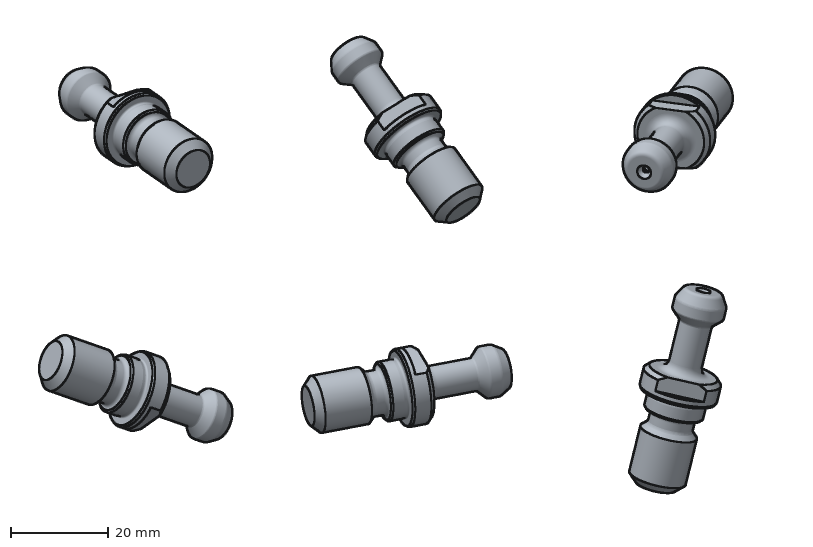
import cadquery as cq
import math


head_reach = 23.0
shank_reach = 20.0
head_end = -head_reach

head_radius = 10.95 / 2
head_front_corner = head_end + 2.5
head_front_angle = math.radians(30)
head_front_fillet = 1.0
head_back_corner = head_end + 5.0
head_back_fillet = 0.5

stem_radius = 6.95 / 2
stem_start = head_back_corner + (head_radius - stem_radius)
stem_fillet = 2.0

flange_radius = 16.4 / 2
flange_front = -5.0
flange_front_chamfer = 1.0
flange_back_chamfer_length = 0.5
flange_back_chamfer_depth = 0.3

flats_width = 12.8
flats_end = -1.6

relief_radius = 12.3 / 2
relief_fillet = 0.4
relief_end = 0.5
land_start = 1.1
land_radius = 12.5 / 2
land_end = 4.0
land_chamfer = 0.4

neck_radius = 9.5 / 2
neck_fillet = 0.9

shank_radius = 12.0 / 2
shank_start = 8.15
neck_end = shank_start - (shank_radius - neck_radius)
shank_chamfer = 1.8

center_mouth_radius = 3.0 / 2
center_pilot_radius = 1.4 / 2
center_cone_half_angle = math.radians(30)
center_pilot_length = 1.0
drill_point_half_angle = math.radians(60)


def revolve_about_x(profile):
    """Turn a closed profile, drawn as (x, radius), about the X axis."""
    return profile.close().revolve(360, (0, 0, 0), (1, 0, 0))


def round_circle(body, x, radius, fillet_radius):
    """Fillet the circular edge of the given radius that lies at x."""
    tolerance = 0.01
    box = cq.selectors.BoxSelector(
        (x - tolerance, -radius - tolerance, -radius - tolerance),
        (x + tolerance, radius + tolerance, radius + tolerance),
        boundingbox=True,
    )
    circle = cq.selectors.RadiusNthSelector(-1)
    return body.edges(box).edges(circle).fillet(fillet_radius)


def make_turned_body():
    head_face_radius = head_radius - (head_front_corner - head_end) * math.tan(head_front_angle)
    profile = (
        cq.Workplane("XY")
        .moveTo(head_end, 0)
        .lineTo(head_end, head_face_radius)
        .lineTo(head_front_corner, head_radius)
        .lineTo(head_back_corner, head_radius)
        .lineTo(stem_start, stem_radius)
        .lineTo(flange_front, stem_radius)
        .lineTo(flange_front, flange_radius - flange_front_chamfer)
        .lineTo(flange_front + flange_front_chamfer, flange_radius)
        .lineTo(-flange_back_chamfer_length, flange_radius)
        .lineTo(0, flange_radius - flange_back_chamfer_depth)
        .lineTo(0, relief_radius)
        .lineTo(relief_end, relief_radius)
        .lineTo(land_start, land_radius)
        .lineTo(land_end - land_chamfer, land_radius)
        .lineTo(land_end, land_radius - land_chamfer)
        .lineTo(land_end, neck_radius)
        .lineTo(neck_end, neck_radius)
        .lineTo(shank_start, shank_radius)
        .lineTo(shank_reach - shank_chamfer, shank_radius)
        .lineTo(shank_reach, shank_radius - shank_chamfer)
        .lineTo(shank_reach, 0)
    )
    body = revolve_about_x(profile)
    fillets = [
        (head_end, head_face_radius, head_front_fillet),
        (head_front_corner, head_radius, head_front_fillet),
        (head_back_corner, head_radius, head_back_fillet),
        (stem_start, stem_radius, head_back_fillet),
        (flange_front, stem_radius, stem_fillet),
        (0, relief_radius, relief_fillet),
        (land_end, neck_radius, neck_fillet),
        (neck_end, neck_radius, neck_fillet),
    ]
    for x, radius, fillet_radius in fillets:
        body = round_circle(body, x, radius, fillet_radius)
    return body


def cut_wrench_flats(body):
    """Cut two parallel flats into the flange, facing +Z and -Z."""
    length = flats_end - flange_front
    middle = (flats_end + flange_front) / 2
    cutter_height = flange_radius
    for side in (1, -1):
        cutter = cq.Workplane("XY").box(length, 2 * flange_radius, cutter_height)
        body = body.cut(cutter.translate((middle, 0, side * (flats_width + cutter_height) / 2)))
    return body


def cut_center_hole(body):
    """Cut the centre-drilled hole: conical mouth, short pilot and drill point."""
    cone_end = head_end + (center_mouth_radius - center_pilot_radius) / math.tan(center_cone_half_angle)
    pilot_end = cone_end + center_pilot_length
    tip = pilot_end + center_pilot_radius / math.tan(drill_point_half_angle)
    profile = (
        cq.Workplane("XY")
        .moveTo(head_end, 0)
        .lineTo(head_end, center_mouth_radius)
        .lineTo(cone_end, center_pilot_radius)
        .lineTo(pilot_end, center_pilot_radius)
        .lineTo(tip, 0)
    )
    return body.cut(revolve_about_x(profile))


result = cut_center_hole(cut_wrench_flats(make_turned_body()))